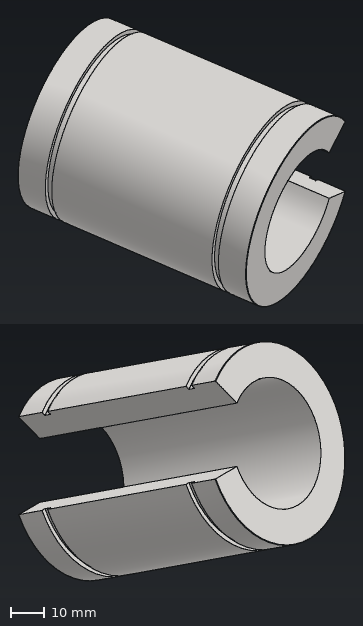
import cadquery as cq
import math

length = 80.0
outer_diameter = 61.9
bore_diameter = 40.0
end_chamfer = 0.2

groove_diameter = 59.0
groove_width = 2.2
groove_end_distance = 9.7

gap_angle = 58.0


def cylinder(diameter, start, span):
    """Cylinder along X, beginning at x = start."""
    return cq.Workplane("YZ").workplane(offset=start).circle(diameter / 2).extrude(span)


def ring_groove(start):
    """Ring of material removed to form one groove."""
    stock_diameter = outer_diameter + groove_width
    return cylinder(stock_diameter, start, groove_width).cut(
        cylinder(groove_diameter, start, groove_width)
    )


def gap_wedge():
    """Triangular prism from the axis out past the sleeve toward +Y."""
    reach = outer_diameter
    half_height = reach * math.tan(math.radians(gap_angle / 2))
    return (
        cq.Workplane("YZ")
        .workplane(offset=-length / 2)
        .polyline([(0, 0), (reach, half_height), (reach, -half_height)])
        .close()
        .extrude(length)
    )


sleeve = cylinder(outer_diameter, -length / 2, length).faces("<X or >X").chamfer(end_chamfer)
sleeve = sleeve.cut(cylinder(bore_diameter, -length / 2, length))

first_groove_start = -length / 2 + groove_end_distance
second_groove_start = length / 2 - groove_end_distance - groove_width
for groove_start in (first_groove_start, second_groove_start):
    sleeve = sleeve.cut(ring_groove(groove_start))

result = sleeve.cut(gap_wedge())